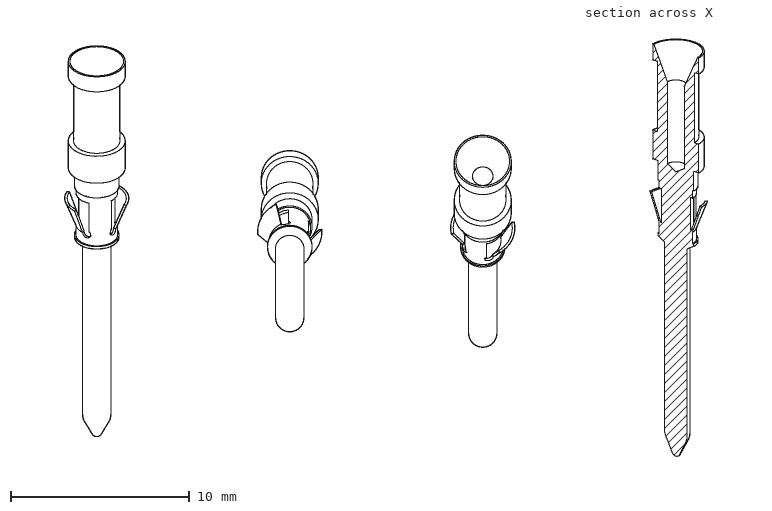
import cadquery as cq
import math

TOTAL_LENGTH = 25.0

PIN_TOP = 13.0
CONE_TOP = 13.27
RIDGE_TOP = 13.44
SLEEVE_TOP = 16.69
FLANGE_BOTTOM = 17.9
FLANGE_TOP = 19.7
RIM_BOTTOM = 24.0

PIN_RADIUS = 0.8
NECK_RADIUS = 1.25
SLEEVE_RADIUS = 1.17
FLANGE_RADIUS = 1.6
BARREL_RADIUS = 1.3

TIP_HALF_ANGLE = math.radians(26)
BLEND_RADIUS = 0.8
NOSE_RADIUS = 0.3

RIM_WIDTH = 0.1
FUNNEL_DEPTH = 2.05
BORE_RADIUS = 0.57
BORE_BOTTOM = FLANGE_BOTTOM
DRILL_HALF_ANGLE = math.radians(59)

SLEEVE_THICKNESS = 0.15
CORE_RADIUS = SLEEVE_RADIUS - SLEEVE_THICKNESS
WINDOW_HALF_ANGLE = 56
WINDOW_TOP = 16.23
TONGUE_HALF_ANGLE = 35
TONGUE_TOP = 15.86
HINGE_HEIGHT = 14.14
RELIEF_RADIUS = 0.25
RELIEF_ANGLE = 49
TONGUE_TIP_RADIUS = 1.805
TONGUE_DIRECTIONS = (-96.5, 83.5)

CUT_OVERSHOOT = 0.3


def arc_point(center_z, center_r, radius, angle):
    """Point (r, z) on an arc, with the angle measured downward from the radial direction."""
    return (center_r + radius * math.cos(angle), center_z - radius * math.sin(angle))


def turned_body():
    """Pin, ridge, sleeve groove, flange, barrel and rim as one revolved profile."""
    nose_tangent = arc_point(NOSE_RADIUS, 0, NOSE_RADIUS, TIP_HALF_ANGLE)
    nose_middle = arc_point(NOSE_RADIUS, 0, NOSE_RADIUS, (TIP_HALF_ANGLE + math.pi / 2) / 2)
    blend_center_r = PIN_RADIUS - BLEND_RADIUS
    blend_end_r = blend_center_r + BLEND_RADIUS * math.cos(TIP_HALF_ANGLE)
    cone_height = (blend_end_r - nose_tangent[0]) / math.tan(TIP_HALF_ANGLE)
    blend_start_z = nose_tangent[1] + cone_height + BLEND_RADIUS * math.sin(TIP_HALF_ANGLE)
    blend_middle = arc_point(blend_start_z, blend_center_r, BLEND_RADIUS, TIP_HALF_ANGLE / 2)
    blend_end = arc_point(blend_start_z, blend_center_r, BLEND_RADIUS, TIP_HALF_ANGLE)
    return (
        cq.Workplane("XZ")
        .moveTo(0, 0)
        .threePointArc(nose_middle, nose_tangent)
        .lineTo(*blend_end)
        .threePointArc(blend_middle, (PIN_RADIUS, blend_start_z))
        .lineTo(PIN_RADIUS, PIN_TOP)
        .lineTo(NECK_RADIUS, CONE_TOP)
        .lineTo(NECK_RADIUS, RIDGE_TOP)
        .lineTo(CORE_RADIUS, RIDGE_TOP)
        .lineTo(CORE_RADIUS, SLEEVE_TOP)
        .lineTo(NECK_RADIUS, SLEEVE_TOP)
        .lineTo(NECK_RADIUS, FLANGE_BOTTOM)
        .lineTo(FLANGE_RADIUS, FLANGE_BOTTOM)
        .lineTo(FLANGE_RADIUS, FLANGE_TOP)
        .lineTo(BARREL_RADIUS, FLANGE_TOP)
        .lineTo(BARREL_RADIUS, RIM_BOTTOM)
        .lineTo(FLANGE_RADIUS, RIM_BOTTOM)
        .lineTo(FLANGE_RADIUS, TOTAL_LENGTH)
        .lineTo(0, TOTAL_LENGTH)
        .close()
        .revolve(360, (0, 0), (0, 1))
    )


def wire_bore():
    """Funnel leading into a blind bore with a conical bottom."""
    drill_point = BORE_BOTTOM - BORE_RADIUS / math.tan(DRILL_HALF_ANGLE)
    return (
        cq.Workplane("XZ")
        .moveTo(0, drill_point)
        .lineTo(BORE_RADIUS, BORE_BOTTOM)
        .lineTo(BORE_RADIUS, TOTAL_LENGTH - FUNNEL_DEPTH)
        .lineTo(FLANGE_RADIUS - RIM_WIDTH, TOTAL_LENGTH)
        .lineTo(0, TOTAL_LENGTH)
        .close()
        .revolve(360, (0, 0), (0, 1))
    )


def swept_sector(profile, direction, half_angle):
    """Revolve an (r, z) profile about Z over +/- half_angle around a direction in degrees."""
    sector = cq.Workplane("XZ").polyline(profile).close().revolve(2 * half_angle, (0, 0), (0, 1))
    return sector.rotate((0, 0, 0), (0, 0, 1), direction - half_angle)


def cut_window(sleeve, direction):
    """Cut a window through the sleeve wall, with a round relief at each lower corner."""
    inner_radius = CORE_RADIUS - CUT_OVERSHOOT
    outer_radius = SLEEVE_RADIUS + CUT_OVERSHOOT
    opening = swept_sector(
        [
            (inner_radius, HINGE_HEIGHT),
            (outer_radius, HINGE_HEIGHT),
            (outer_radius, WINDOW_TOP),
            (inner_radius, WINDOW_TOP),
        ],
        direction,
        WINDOW_HALF_ANGLE,
    )
    sleeve = sleeve.cut(opening)
    for side in (-1, 1):
        relief = (
            cq.Workplane("YZ")
            .center(0, HINGE_HEIGHT)
            .circle(RELIEF_RADIUS)
            .extrude(outer_radius)
            .rotate((0, 0, 0), (0, 0, 1), direction + side * RELIEF_ANGLE)
        )
        sleeve = sleeve.cut(relief)
    return sleeve


def tongue(direction):
    """Conical tongue flaring outward from its hinge at the window's lower edge."""
    return swept_sector(
        [
            (CORE_RADIUS, HINGE_HEIGHT),
            (SLEEVE_RADIUS, HINGE_HEIGHT),
            (TONGUE_TIP_RADIUS, TONGUE_TOP),
            (TONGUE_TIP_RADIUS - SLEEVE_THICKNESS, TONGUE_TOP),
        ],
        direction,
        TONGUE_HALF_ANGLE,
    )


def spring_sleeve():
    """Thin sleeve around the core with a window and a flared tongue on each side."""
    sleeve = (
        cq.Workplane("XY", origin=(0, 0, RIDGE_TOP))
        .circle(SLEEVE_RADIUS)
        .circle(CORE_RADIUS)
        .extrude(SLEEVE_TOP - RIDGE_TOP)
    )
    for direction in TONGUE_DIRECTIONS:
        sleeve = cut_window(sleeve, direction)
        sleeve = sleeve.union(tongue(direction))
    return sleeve


result = turned_body().cut(wire_bore()).union(spring_sleeve())